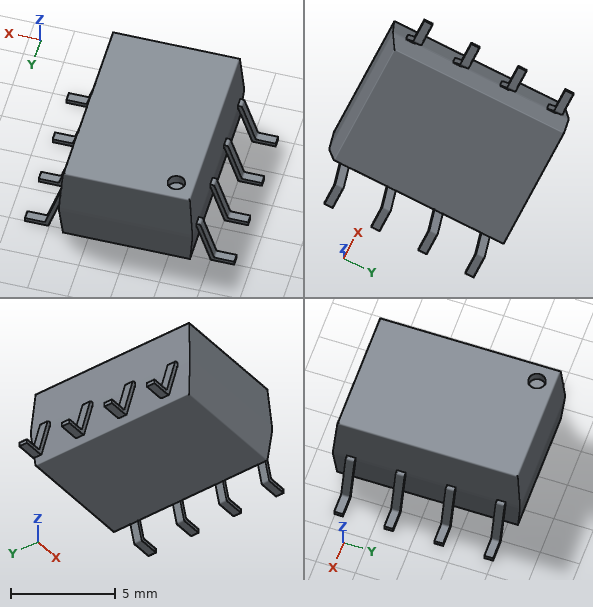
import cadquery as cq
import math

span = 10.4
height = 4.85

housing_width = 6.64
housing_length = 9.5
housing_bottom = 0.4
upper_draft = 4.0
lower_draft = 5.0
top_fillet = 0.08
bottom_fillet = 0.05

mark_diameter = 0.83
mark_depth = 0.5
mark_x = -2.24
mark_y = 3.69

lead_thickness = 0.23
lead_width = 0.45
lead_pitch = 2.54
leads_per_side = 4
shoulder_height = 2.48
foot_length = 1.16
lead_slope = 73.0
bend_radius = 0.1
knee_radius = 0.03

band_bottom = shoulder_height - lead_thickness


def make_block(length_z, taper):
    """Block on Z = 0 with the band outline as its base, narrowing along length_z."""
    return (
        cq.Workplane("XY")
        .rect(housing_width, housing_length)
        .extrude(length_z, taper=taper)
    )


def make_housing():
    """Moulded housing: a straight band with a drafted half above and below it."""
    upper = make_block(height - shoulder_height, upper_draft)
    upper = upper.faces(">Z").fillet(top_fillet).translate((0, 0, shoulder_height))

    band = make_block(lead_thickness, 0).translate((0, 0, band_bottom))

    lower = make_block(band_bottom - housing_bottom, lower_draft)
    lower = lower.faces(">Z").fillet(bottom_fillet)
    lower = lower.mirror("XY").translate((0, 0, band_bottom))

    mark = (
        cq.Workplane("XY", origin=(mark_x, mark_y, height - mark_depth))
        .circle(mark_diameter / 2)
        .extrude(mark_depth)
    )
    return upper.union(band).union(lower).cut(mark)


def make_lead():
    """Gull-wing lead of the -X side, centred on Y = 0, ending flat against the band."""
    tip_x = -span / 2
    wall_x = -housing_width / 2
    run_per_rise = 1 / math.tan(math.radians(lead_slope))
    corner_shift = lead_thickness * math.tan(math.radians(lead_slope / 2))

    heel_x = tip_x + foot_length
    instep_x = heel_x - corner_shift
    knee_x = heel_x + band_bottom * run_per_rise
    shoulder_x = knee_x - corner_shift

    strip = (
        cq.Workplane("XZ")
        .moveTo(tip_x, 0)
        .lineTo(heel_x, 0)
        .lineTo(knee_x, band_bottom)
        .lineTo(wall_x, band_bottom)
        .lineTo(wall_x, shoulder_height)
        .lineTo(shoulder_x, shoulder_height)
        .lineTo(instep_x, lead_thickness)
        .lineTo(tip_x, lead_thickness)
        .close()
        .extrude(lead_width / 2, both=True)
    )

    def bend_edge(x, z):
        return cq.selectors.NearestToPointSelector((x, 0, z))

    strip = strip.edges(bend_edge(instep_x, lead_thickness)).fillet(bend_radius)
    strip = strip.edges(bend_edge(knee_x, band_bottom)).fillet(knee_radius)
    strip = strip.edges(bend_edge(heel_x, 0)).fillet(bend_radius)
    return strip.edges(bend_edge(shoulder_x, shoulder_height)).fillet(bend_radius)


housing = make_housing()

left_lead = make_lead()
right_lead = left_lead.mirror("YZ")
leads = []
for row in range(leads_per_side):
    lead_y = (row - (leads_per_side - 1) / 2) * lead_pitch
    for lead in (left_lead, right_lead):
        leads.append(lead.translate((0, lead_y, 0)).val())

result = cq.Compound.makeCompound([housing.val(), *leads])